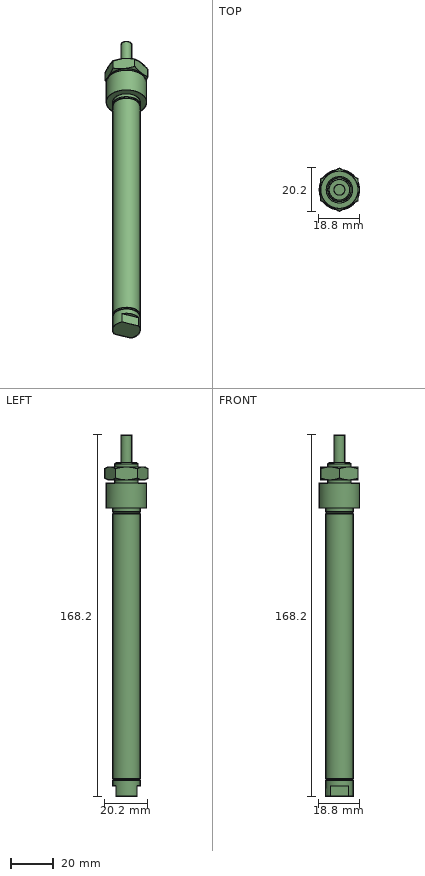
import cadquery as cq
import math

TOTAL_LENGTH = 168.2
FLAT_TOP = 4.9
REAR_GROOVE_HEIGHT = 7.9
FRONT_GROOVE_HEIGHT = 132.0
COLLAR_BOTTOM = 134.2
COLLAR_TOP = 145.8
NUT_BOTTOM = 147.3
NUT_THICKNESS = 6.0
NECK_TOP = 155.4

BARREL_DIAMETER = 13.0
COLLAR_DIAMETER = 18.8
NECK_DIAMETER = 11.0
NECK_CHAMFER_WIDTH = 0.7
NECK_CHAMFER_HEIGHT = 0.7
GROOVE_WIDTH = 1.0
GROOVE_DEPTH = 0.3
FLAT_SPACING = 10.0

ROD_DIAMETER = 5.0
ROD_SEAT_DEPTH = 5.0

NUT_ACROSS_FLATS = 17.5
NUT_ACROSS_CORNERS = NUT_ACROSS_FLATS / math.cos(math.pi / 6)
NUT_FACE_DIAMETER = 17.3
NUT_CHAMFER_HEIGHT = 0.8
NUT_COUNTERSINK = 0.7


def cylinder(diameter, bottom, top):
    """Cylinder on the Z axis between two heights."""
    return cq.Workplane("XY").workplane(offset=bottom).circle(diameter / 2).extrude(top - bottom)


def barrel_groove(center_height):
    """Ring of V section that cuts a crimp groove into the barrel."""
    radius = BARREL_DIAMETER / 2
    half_width = GROOVE_WIDTH / 2
    return (
        cq.Workplane("XZ")
        .moveTo(radius, center_height - half_width)
        .lineTo(radius - GROOVE_DEPTH, center_height)
        .lineTo(radius, center_height + half_width)
        .close()
        .revolve(360, (0, 0, 0), (0, 1, 0))
    )


def make_neck():
    """Neck that carries the nut, bevelled at its front end."""
    radius = NECK_DIAMETER / 2
    return (
        cq.Workplane("XZ")
        .moveTo(0, COLLAR_TOP)
        .lineTo(radius, COLLAR_TOP)
        .lineTo(radius, NECK_TOP - NECK_CHAMFER_HEIGHT)
        .lineTo(radius - NECK_CHAMFER_WIDTH, NECK_TOP)
        .lineTo(0, NECK_TOP)
        .close()
        .revolve(360, (0, 0, 0), (0, 1, 0))
    )


def make_cylinder_body():
    """Barrel, collar and neck, with rear flats, crimp grooves and a rod seat."""
    body = cylinder(BARREL_DIAMETER, 0, COLLAR_BOTTOM)
    for height in (REAR_GROOVE_HEIGHT, FRONT_GROOVE_HEIGHT):
        body = body.cut(barrel_groove(height))

    flat_cut_depth = (BARREL_DIAMETER - FLAT_SPACING) / 2
    flat_cut = cq.Workplane("XY").box(
        BARREL_DIAMETER, flat_cut_depth, FLAT_TOP, centered=(True, False, False)
    )
    body = body.cut(flat_cut.translate((0, FLAT_SPACING / 2, 0)))
    body = body.cut(flat_cut.translate((0, -BARREL_DIAMETER / 2, 0)))

    body = body.union(cylinder(COLLAR_DIAMETER, COLLAR_BOTTOM, COLLAR_TOP))
    body = body.union(make_neck())
    return body.cut(cylinder(ROD_DIAMETER, NECK_TOP - ROD_SEAT_DEPTH, NECK_TOP))


def make_rod():
    """Plain piston rod standing in its seat in the neck."""
    return cylinder(ROD_DIAMETER, NECK_TOP - ROD_SEAT_DEPTH, TOTAL_LENGTH)


def make_nut():
    """Hexagon nut with corners on Y, bevelled outside and countersunk on both faces."""
    hexagon = (
        cq.Workplane("XY")
        .polygon(6, NUT_ACROSS_CORNERS)
        .extrude(NUT_THICKNESS)
        .rotate((0, 0, 0), (0, 0, 1), 90)
    )
    corner_limit = (
        cq.Workplane("XY")
        .circle(NUT_ACROSS_CORNERS / 2)
        .extrude(NUT_THICKNESS)
        .faces("<Z or >Z")
        .chamfer(NUT_CHAMFER_HEIGHT, (NUT_ACROSS_CORNERS - NUT_FACE_DIAMETER) / 2)
    )
    return (
        hexagon.intersect(corner_limit)
        .faces(">Z")
        .workplane(origin=(0, 0, NUT_THICKNESS))
        .hole(NECK_DIAMETER)
        .edges(cq.selectors.RadiusNthSelector(0))
        .chamfer(NUT_COUNTERSINK)
        .translate((0, 0, NUT_BOTTOM))
    )


cylinder_body = make_cylinder_body()
rod = make_rod()
nut = make_nut()

result = cq.Compound.makeCompound([cylinder_body.val(), rod.val(), nut.val()])